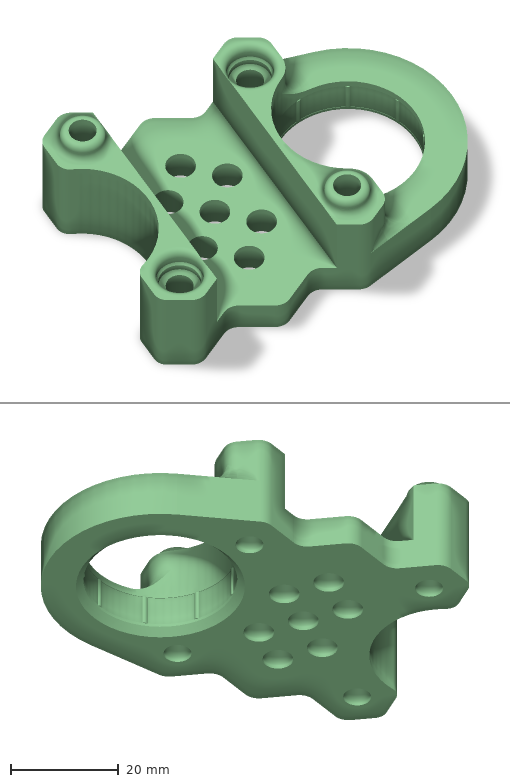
import cadquery as cq
import math

post_pitch = 35.92
overall_width = 50.8
corner_radius = 3.175
front_corner_radius = 2.7
hex_apothem = 6.84

plate_height = 6.35
ring_height = 9.525
post_height = 19.05
wall_offset = 12.86

bore_radius = 14.2875
bore_y = 28.575
ring_radius = 22.225

post_back_y = 24.1
back_round_radius = 5.08
foot_fillet = 5.08

relief_bottom_z = 2.0
relief_top_z = 8.1
relief_depth = 0.1
bore_chamfer = 1.4
rib_count = 9
rib_first_angle = 30
rib_radius = 0.6
rib_tip_radius = 14.1

vent_diameter = 5.7
vent_pitch = 12.7

screw_radius = 2.6

pin_radius = 4.25
pin_height = 3.175
pin_flare = 1.3
pin_top_radius = 1.27

socket_radius = 4.45
socket_lip = 1.4
socket_cylinder_depth = 2.7
socket_floor_radius = 4.0
socket_depth = 4.3

large = 200.0
section_overlap = 0.5
edge_tolerance = 0.01

half_pitch = post_pitch / 2
corner_x = overall_width / 2 - corner_radius
side_angle = math.radians(30)
slope = 1 / math.tan(side_angle)
tip_x = corner_x + corner_radius / math.cos(side_angle)
notch_y = half_pitch / 2
notch_x = tip_x - notch_y / slope
front_y = -half_pitch - hex_apothem
pin_posts = [(half_pitch, half_pitch), (-half_pitch, -half_pitch)]
socket_posts = [(-half_pitch, half_pitch), (half_pitch, -half_pitch)]

flank_angle = math.atan2(half_pitch - bore_y, corner_x) + math.acos(
    (ring_radius - corner_radius) / math.hypot(corner_x, half_pitch - bore_y)
)
flank_distance = ring_radius + bore_y * math.sin(flank_angle)

round_x = tip_x - (post_back_y - half_pitch) / slope - corner_radius * math.tan(side_angle)
round_y = post_back_y - corner_radius


def mirrored(points):
    """Close a right-hand half outline with its mirror image across the Y axis."""
    return points + [(-x, y) for x, y in reversed(points)]


def half_space(y_min, y_max):
    """Tall box spanning the part between two Y values."""
    return cq.Workplane("XY").box(large, y_max - y_min, large).translate((0, (y_min + y_max) / 2, 0))


def zigzag_body(height):
    """Prism with rounded hexagon tips and notches along both sides."""
    points = mirrored([
        (tip_x - hex_apothem / slope, front_y),
        (tip_x, -half_pitch),
        (notch_x, -notch_y),
        (tip_x, 0),
        (notch_x, notch_y),
        (tip_x, half_pitch),
        (tip_x - (post_back_y - half_pitch) / slope, post_back_y),
    ])
    body = cq.Workplane("XY").polyline(points).close().extrude(height)
    body = body.edges("|Z and (not <Y)").fillet(corner_radius)
    return body.faces("<Y").edges("|Z").fillet(front_corner_radius)


def ring_outline(height):
    """Ring disc with straight flanks tangent to the rear corner roundings."""
    ring_x = ring_radius * math.cos(flank_angle)
    ring_y = bore_y + ring_radius * math.sin(flank_angle)
    flank_x = corner_x + corner_radius * math.cos(flank_angle)
    flank_y = half_pitch + corner_radius * math.sin(flank_angle)
    return (
        cq.Workplane("XY")
        .moveTo(-flank_x, flank_y)
        .lineTo(-ring_x, ring_y)
        .threePointArc((0, bore_y + ring_radius), (ring_x, ring_y))
        .lineTo(flank_x, flank_y)
        .close()
        .extrude(height)
    )


def bore_blend(centre_y, flat_y, radius):
    """Centre and tangent point (right side) of an arc joining a flat to the bore circle."""
    inward = 1 if flat_y < 0 else -1
    y = flat_y + inward * radius
    reach = bore_radius + radius
    x = math.sqrt(reach**2 - (y - centre_y) ** 2)
    ratio = bore_radius / reach
    return (x, y), (x * ratio, centre_y + (y - centre_y) * ratio)


def blend_trim(centre_y, flat_y, radius):
    """Prism of the corners to remove between one flat and the bore circle."""
    (cx, cy), (tx, ty) = bore_blend(centre_y, flat_y, radius)
    trim = cq.Workplane("XY").polyline(mirrored([(tx, ty), (cx, flat_y)])).close().extrude(large)
    for side in (1, -1):
        trim = trim.cut(cq.Workplane("XY").center(side * cx, cy).circle(radius).extrude(large))
    return trim


def cylinder(x, y, radius, z_min, height):
    """Upright cylinder rising from z_min."""
    return cq.Workplane("XY", origin=(x, y, z_min)).circle(radius).extrude(height)


def front_posts():
    """Front wall and posts, with the round cutout between them."""
    body = zigzag_body(post_height).intersect(half_space(-large, -wall_offset))
    body = body.cut(blend_trim(-bore_y, front_y, front_corner_radius))
    return body.cut(cylinder(0, -bore_y, bore_radius, 0, post_height))


def flank_section(x, y, angle):
    """Section of the foot fillet where it fades out at the flank edge.

    The section stands on the post wall at (x, y), faces along the given angle and ends on the flank.
    """
    ux = math.cos(angle)
    uy = math.sin(angle)
    gap = flank_distance - x * math.cos(flank_angle) - y * math.sin(flank_angle)
    width = min(gap / math.cos(angle - flank_angle), foot_fillet)
    height = math.sqrt(width * (2 * foot_fillet - width))
    turn = math.acos((foot_fillet - width) / foot_fillet) / 2
    middle = (foot_fillet * (1 - math.cos(turn)), height - foot_fillet * math.sin(turn))
    plane = cq.Plane(origin=(x, y, ring_height), xDir=(ux, uy, 0), normal=(uy, -ux, 0))
    return (
        cq.Workplane(plane)
        .moveTo(-section_overlap, 0)
        .lineTo(width, 0)
        .threePointArc(middle, (0, height))
        .lineTo(-section_overlap, height)
        .close()
        .wires()
        .val()
    )


def flank_fillet(fade_angle):
    """Right-hand foot fillet from the tip rounding to where it reaches full width."""
    side_start = (
        corner_x + corner_radius * math.cos(side_angle),
        half_pitch + corner_radius * math.sin(side_angle),
    )
    side_end = (
        round_x + corner_radius * math.cos(side_angle),
        round_y + corner_radius * math.sin(side_angle),
    )
    along_side = []
    around_corner = []
    for step in (0, 0.5, 1):
        x = side_start[0] + step * (side_end[0] - side_start[0])
        y = side_start[1] + step * (side_end[1] - side_start[1])
        along_side.append(flank_section(x, y, side_angle))
        angle = side_angle + step * (fade_angle - side_angle)
        x = round_x + corner_radius * math.cos(angle)
        y = round_y + corner_radius * math.sin(angle)
        around_corner.append(flank_section(x, y, angle))
    side = cq.Workplane(cq.Solid.makeLoft(along_side))
    return side.union(cq.Workplane(cq.Solid.makeLoft(around_corner)))


def rear_posts():
    """Rear wall and posts, blended into the ring by a fillet at their foot."""
    body = zigzag_body(post_height).intersect(half_space(wall_offset, large))
    body = body.cut(blend_trim(bore_y, post_back_y, back_round_radius))
    slab = cq.Workplane("XY").box(large, large, ring_height, centered=(True, True, False))
    filleted = slab.intersect(half_space(wall_offset, large)).union(body)
    foot_edges = filleted.edges(
        cq.selectors.BoxSelector(
            (-overall_width / 2, half_pitch, ring_height - edge_tolerance),
            (overall_width / 2, post_back_y + edge_tolerance, ring_height + edge_tolerance),
        )
    )
    filleted = foot_edges.fillet(foot_fillet)

    reach = flank_distance - round_x * math.cos(flank_angle) - round_y * math.sin(flank_angle)
    fade_angle = flank_angle + math.acos(reach / (corner_radius + foot_fillet))
    fade_zone = cq.Workplane("XY", origin=(0, 0, ring_height)).polyline([
        (round_x, round_y),
        (round_x + large * math.cos(fade_angle), round_y + large * math.sin(fade_angle)),
        (round_x + large, 0),
        (round_x, 0),
    ]).close().extrude(large)
    fading = flank_fillet(fade_angle)
    filleted = filleted.cut(fade_zone).cut(fade_zone.mirror("YZ"))
    filleted = filleted.union(body).union(fading).union(fading.mirror("YZ"))
    outline = zigzag_body(post_height).union(ring_outline(post_height))
    return filleted.intersect(outline)


def pin():
    """Flared pin on the origin, base at Z = 0, without its screw hole."""
    flare_mid = pin_flare * (1 - math.sqrt(0.5))
    top_mid = pin_top_radius * (1 - math.sqrt(0.5))
    rim_radius = pin_radius - pin_top_radius
    return (
        cq.Workplane("XZ")
        .lineTo(pin_radius + pin_flare, 0)
        .threePointArc((pin_radius + flare_mid, flare_mid), (pin_radius, pin_flare))
        .lineTo(pin_radius, pin_height - pin_top_radius)
        .threePointArc((pin_radius - top_mid, pin_height - top_mid), (rim_radius, pin_height))
        .lineTo(0, pin_height)
        .close()
        .revolve(360, (0, 0, 0), (0, 1, 0))
    )


def socket():
    """Stepped recess on the origin, mouth at Z = 0, with a rounded lip."""
    lip_mid = socket_lip * (1 - math.sqrt(0.5))
    step = socket_radius - socket_floor_radius
    return (
        cq.Workplane("XZ")
        .lineTo(socket_radius + socket_lip, 0)
        .threePointArc((socket_radius + lip_mid, -lip_mid), (socket_radius, -socket_lip))
        .lineTo(socket_radius, -socket_cylinder_depth)
        .lineTo(socket_floor_radius, -socket_cylinder_depth - step)
        .lineTo(socket_floor_radius, -socket_depth)
        .lineTo(0, -socket_depth)
        .close()
        .revolve(360, (0, 0, 0), (0, 1, 0))
    )


def bore_cutter():
    """Ring bore with a shallow relief band, crossed by upright crush ribs."""
    height = relief_top_z - relief_bottom_z
    relief = cylinder(0, bore_y, bore_radius + relief_depth, relief_bottom_z, height)
    cutter = cylinder(0, bore_y, bore_radius, 0, post_height).union(relief)
    cone = cq.Solid.makeCone(
        bore_radius + bore_chamfer, bore_radius, bore_chamfer, pnt=cq.Vector(0, bore_y, 0)
    )
    cutter = cutter.union(cq.Workplane(cone))
    for i in range(rib_count):
        angle = math.radians(rib_first_angle + i * 360 / rib_count)
        rib_x = (rib_tip_radius + rib_radius) * math.cos(angle)
        rib_y = bore_y + (rib_tip_radius + rib_radius) * math.sin(angle)
        rib = cylinder(rib_x, rib_y, rib_radius, relief_bottom_z, height)
        cutter = cutter.cut(rib)
    return cutter


def vent_holes():
    """One central hole and a ring of six around it, three rows in all."""
    centres = [(0, 0)]
    for side in (-1, 1):
        centres.append((side * vent_pitch, 0))
        centres.append((side * vent_pitch / 2, vent_pitch / 2))
        centres.append((side * vent_pitch / 2, -vent_pitch / 2))
    return cq.Workplane("XY").pushPoints(centres).circle(vent_diameter / 2).extrude(plate_height)


def screw_holes():
    """Through holes along the axes of all posts and pins."""
    centres = pin_posts + socket_posts
    return cq.Workplane("XY").pushPoints(centres).circle(screw_radius).extrude(post_height + pin_height)


plate = zigzag_body(plate_height).intersect(half_space(-wall_offset, wall_offset))
result = plate.union(front_posts()).union(rear_posts())

plate_gap = half_space(-wall_offset, wall_offset)
for x, y in pin_posts:
    result = result.union(pin().translate((x, y, post_height)).cut(plate_gap))
for x, y in socket_posts:
    result = result.cut(socket().translate((x, y, post_height)))

result = result.cut(bore_cutter()).cut(screw_holes()).cut(vent_holes())